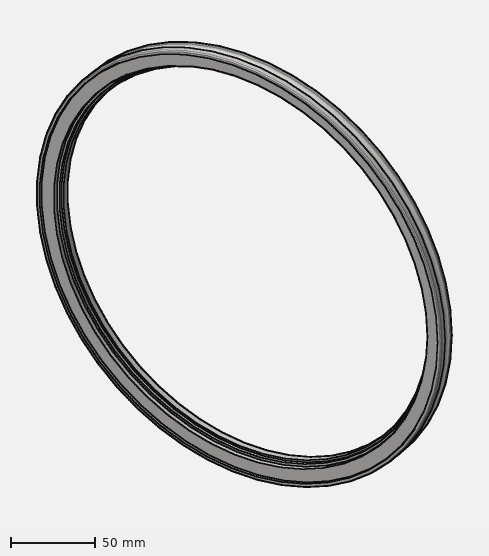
import cadquery as cq
import math

width = 12.0
outer_radius = 290.0 / 2
front_y = -width / 2
back_y = width / 2
rim_edge_radius = 0.75

recess_radius = 285.0 / 2
recess_floor_y = front_y + 2.0

front_bore_radius = 267.5 / 2
middle_bore_radius = 264.0 / 2
back_bore_radius = 261.2 / 2
front_step_y = -0.8
middle_step_y = 1.5

groove_radius = 2.5
groove_y = 1.0
mouth_radius = 0.3


def add_groove(profile):
    """Continue the outer line in +Y through the groove and its rounded edges."""
    centre_distance = groove_radius + mouth_radius
    surface_offset = math.sqrt(centre_distance**2 - mouth_radius**2)
    share = groove_radius / centre_distance
    arc_end_radius = outer_radius - mouth_radius * share
    arc_end_offset = surface_offset * share
    return (
        profile.lineTo(outer_radius, groove_y - surface_offset)
        .radiusArc((arc_end_radius, groove_y - arc_end_offset), -mouth_radius)
        .threePointArc(
            (outer_radius - groove_radius, groove_y),
            (arc_end_radius, groove_y + arc_end_offset),
        )
        .radiusArc((outer_radius, groove_y + surface_offset), -mouth_radius)
    )


def add_outside(profile):
    """Run from the front rim over the rounded edges and the groove to the back."""
    rim_flat_radius = outer_radius - rim_edge_radius
    profile = profile.lineTo(rim_flat_radius, front_y).radiusArc(
        (outer_radius, front_y + rim_edge_radius), -rim_edge_radius
    )
    return (
        add_groove(profile)
        .lineTo(outer_radius, back_y - rim_edge_radius)
        .radiusArc((rim_flat_radius, back_y), -rim_edge_radius)
    )


def add_stepped_bore(profile):
    """Run along the back face and forward through the three bore diameters."""
    return (
        profile.lineTo(back_bore_radius, back_y)
        .lineTo(back_bore_radius, middle_step_y)
        .lineTo(middle_bore_radius, middle_step_y)
        .lineTo(middle_bore_radius, front_step_y)
        .lineTo(front_bore_radius, front_step_y)
    )


def make_ring():
    """Revolve the section; sketch X is the radius and sketch Y the part's Y."""
    profile = (
        cq.Workplane("XY")
        .moveTo(front_bore_radius, recess_floor_y)
        .lineTo(recess_radius, recess_floor_y)
        .lineTo(recess_radius, front_y)
    )
    section = add_stepped_bore(add_outside(profile)).close()
    return section.revolve(360, (0, 0, 0), (0, 1, 0))


result = make_ring()